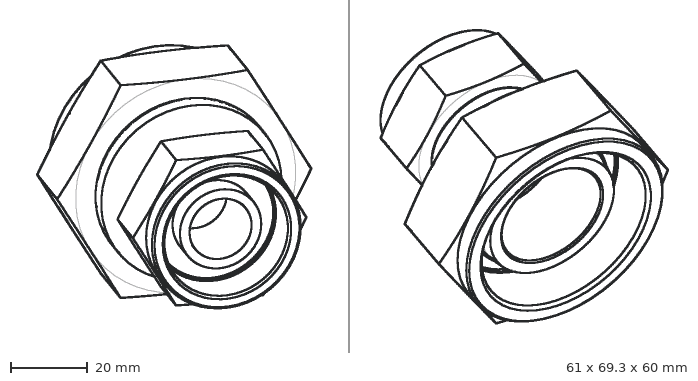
import cadquery as cq
import math


total_length = 61.0

large_across_flats = 60.0
large_hex_length = 19.95
large_collar_length = 5.0
large_collar_radius = 29.7
large_mouth_chamfer = 1.0
large_socket_depth = 15.2

small_across_flats = 41.0
small_hex_length = 14.95
small_collar_length = 5.55
small_collar_radius = 20.3
small_mouth_chamfer = 0.7
small_socket_depth = 11.1

hex_sides = 6
collar_chamfer = 0.55
hex_bevel_angle = math.radians(15)
socket_clearance = 0.2
thread_step = 0.3

flange_radius = 24.6
flange_length = 5.0
neck_radius = 16.6
neck_length = 5.0
end_face_setback = 0.9

insert_end = 6.9
insert_radius = 18.7
first_taper_radius = 19.4
step_inner_radius = 19.7
step_outer_radius = 20.1
insert_root_radius = 20.8
taper_slope = 0.2

wide_bore_radius = 14.95
wide_bore_chamfer = 0.5
bore_cone_half_angle = math.radians(60)
narrow_bore_radius = 8.45

small_insert_radius = 11.1
small_insert_setback = 5.55

large_nut_end = large_collar_length + large_hex_length
small_nut_length = small_collar_length + small_hex_length
small_nut_start = total_length - small_nut_length
cone_start = large_nut_end + flange_length
cone_end = small_nut_start - neck_length


def revolve_about_x(points):
    """Revolve a closed (x, radius) outline about the X axis."""
    return cq.Workplane("XY").polyline(points).close().revolve(360, (0, 0, 0), (1, 0, 0))


def make_nut(
    across_flats, hex_length, collar_length, collar_radius, mouth_chamfer, socket_depth, seat_radius
):
    """Hexagon nut with its collar mouth at x = 0; seat_radius is the body section it screws up to."""
    nut_end = collar_length + hex_length
    inscribed_radius = across_flats / 2
    corner_radius = inscribed_radius / math.cos(math.pi / hex_sides)
    bevel = (corner_radius - inscribed_radius) * math.tan(hex_bevel_angle)

    hexagon = (
        cq.Workplane("YZ")
        .workplane(offset=collar_length)
        .polygon(hex_sides, 2 * corner_radius)
        .extrude(hex_length)
    )
    bevel_envelope = revolve_about_x([
        (collar_length, 0),
        (collar_length, inscribed_radius),
        (collar_length + bevel, corner_radius),
        (nut_end - bevel, corner_radius),
        (nut_end, inscribed_radius),
        (nut_end, 0),
    ])
    collar = revolve_about_x([
        (0, 0),
        (0, collar_radius - collar_chamfer),
        (collar_chamfer, collar_radius),
        (collar_length, collar_radius),
        (collar_length, 0),
    ])
    socket_radius = seat_radius + socket_clearance
    thread_radius = seat_radius - thread_step
    bore = revolve_about_x([
        (0, 0),
        (0, socket_radius + mouth_chamfer),
        (mouth_chamfer, socket_radius),
        (socket_depth, socket_radius),
        (socket_depth, thread_radius),
        (nut_end, thread_radius),
        (nut_end, 0),
    ])
    return hexagon.intersect(bevel_envelope).union(collar).cut(bore)


def make_body():
    """Reducing body: a threaded end with a pipe insert at each side, joined by a flange, cone and neck."""
    large_face = large_socket_depth + end_face_setback
    small_face = total_length - small_socket_depth - end_face_setback
    small_insert_end = total_length - small_insert_setback
    large_thread_radius = flange_radius - thread_step
    small_thread_radius = neck_radius - thread_step

    first_taper_end = insert_end + (first_taper_radius - insert_radius) / taper_slope
    second_taper_start = large_face - (insert_root_radius - step_outer_radius) / taper_slope
    bore_cone_length = (wide_bore_radius - narrow_bore_radius) / math.tan(bore_cone_half_angle)

    large_insert = [
        (insert_end, insert_radius),
        (first_taper_end, first_taper_radius),
        (second_taper_start, step_inner_radius),
        (second_taper_start, step_outer_radius),
        (large_face, insert_root_radius),
    ]
    outside = [
        (large_face, large_thread_radius),
        (large_nut_end, large_thread_radius),
        (large_nut_end, flange_radius),
        (cone_start, flange_radius),
        (cone_end, neck_radius),
        (small_nut_start, neck_radius),
        (small_nut_start, small_thread_radius),
        (small_face, small_thread_radius),
    ]
    small_insert = [
        (small_face, small_insert_radius),
        (small_insert_end, small_insert_radius),
    ]
    bore = [
        (small_insert_end, narrow_bore_radius),
        (cone_start + bore_cone_length, narrow_bore_radius),
        (cone_start, wide_bore_radius),
        (insert_end + wide_bore_chamfer, wide_bore_radius),
        (insert_end, wide_bore_radius + wide_bore_chamfer),
    ]
    return revolve_about_x(large_insert + outside + small_insert + bore)


large_nut = make_nut(
    large_across_flats, large_hex_length, large_collar_length, large_collar_radius,
    large_mouth_chamfer, large_socket_depth, flange_radius,
)
small_nut = (
    make_nut(
        small_across_flats, small_hex_length, small_collar_length, small_collar_radius,
        small_mouth_chamfer, small_socket_depth, neck_radius,
    )
    .rotate((0, 0, 0), (0, 0, 1), 180)
    .translate((total_length, 0, 0))
)
body = make_body()

result = cq.Compound.makeCompound([body.val(), large_nut.solids().val(), small_nut.solids().val()])